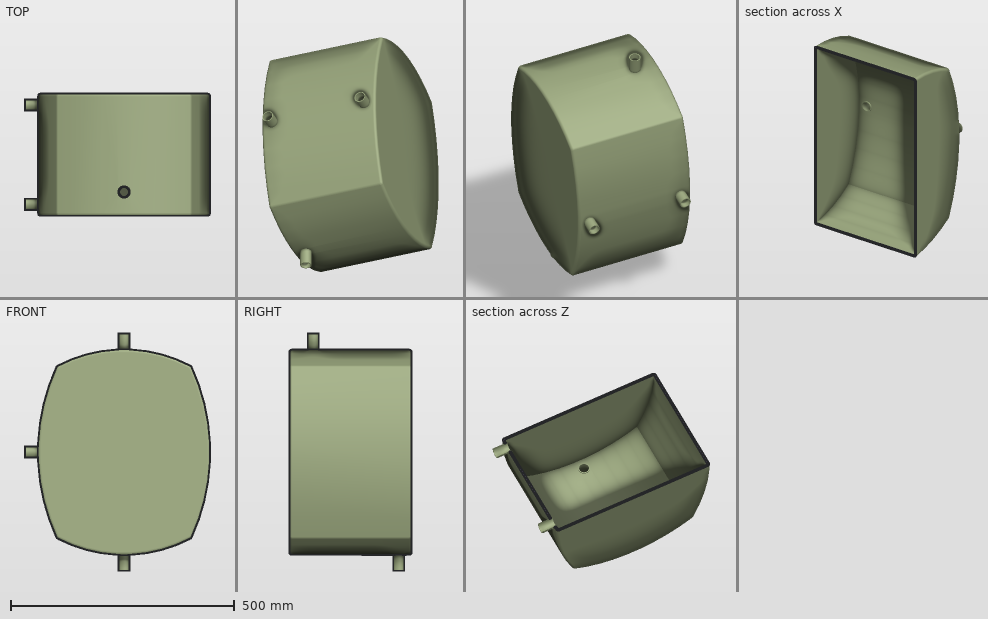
import cadquery as cq

HOUSING_DEPTH = 273.0
HALF_WIDTH = 192.5
HALF_HEIGHT = 229.5
CORNER_X = 150.0
CORNER_Z = 192.0
CORNER_RADIUS = 8.0
RIM_RADIUS = 6.5
WALL = 5.5

TUBE_DIAMETER = 25.5
BORE_DIAMETER = 22.0
OVERALL_HEIGHT = 530.5
OVERALL_WIDTH = 414.0
SIDE_TUBE_REACH = OVERALL_WIDTH - HALF_WIDTH
END_TUBE_REACH = OVERALL_HEIGHT / 2
TUBE_STICK_IN = 2.5

COLD_TUBE_Y = 111.0
HOT_IN_Y = -83.5
HOT_OUT_Y = 107.5


def barrel(inset):
    """Solid with four bowed sides, the housing shape moved inward by inset on every side."""
    half_width = HALF_WIDTH - inset
    half_height = HALF_HEIGHT - inset
    corner_x = CORNER_X - inset
    corner_z = CORNER_Z - inset
    return (
        cq.Workplane("XZ")
        .moveTo(-corner_x, corner_z)
        .threePointArc((0, half_height), (corner_x, corner_z))
        .threePointArc((half_width, 0), (corner_x, -corner_z))
        .threePointArc((0, -half_height), (-corner_x, -corner_z))
        .threePointArc((-half_width, 0), (-corner_x, corner_z))
        .close()
        .extrude(HOUSING_DEPTH / 2 - inset, both=True)
    )


def cylinder_along(direction, y, start, end, diameter):
    """Cylinder pointing out of the housing at depth y, between two distances from its centre."""
    plane = cq.Plane(
        origin=tuple(start * part + offset for part, offset in zip(direction, (0, y, 0))),
        xDir=(0, 1, 0),
        normal=direction,
    )
    return cq.Workplane(plane).circle(diameter / 2).extrude(end - start)


def make_tube(direction, y, start, end):
    """Straight open tube."""
    outside = cylinder_along(direction, y, start, end, TUBE_DIAMETER)
    bore = cylinder_along(direction, y, start, end, BORE_DIAMETER)
    return outside.cut(bore)


def make_housing(tube_places):
    """Hollow case with rounded edges and one round hole for each tube."""
    outside = barrel(0).edges("|Y").fillet(CORNER_RADIUS)
    outside = outside.faces("<Y or >Y").edges().fillet(RIM_RADIUS)
    housing = outside.cut(barrel(WALL))
    for place in tube_places:
        housing = housing.cut(cylinder_along(*place, TUBE_DIAMETER))
    return housing


LEFT = (-1, 0, 0)
UP = (0, 0, 1)
DOWN = (0, 0, -1)
SIDE_START = HALF_WIDTH - WALL - TUBE_STICK_IN
END_START = HALF_HEIGHT - WALL - TUBE_STICK_IN
TUBE_PLACES = [
    (LEFT, COLD_TUBE_Y, SIDE_START, SIDE_TUBE_REACH),
    (LEFT, -COLD_TUBE_Y, SIDE_START, SIDE_TUBE_REACH),
    (UP, HOT_IN_Y, END_START, END_TUBE_REACH),
    (DOWN, HOT_OUT_Y, END_START, END_TUBE_REACH),
]

housing = make_housing(TUBE_PLACES)
tubes = [make_tube(*place) for place in TUBE_PLACES]

result = cq.Compound.makeCompound([housing.val(), *[tube.val() for tube in tubes]])